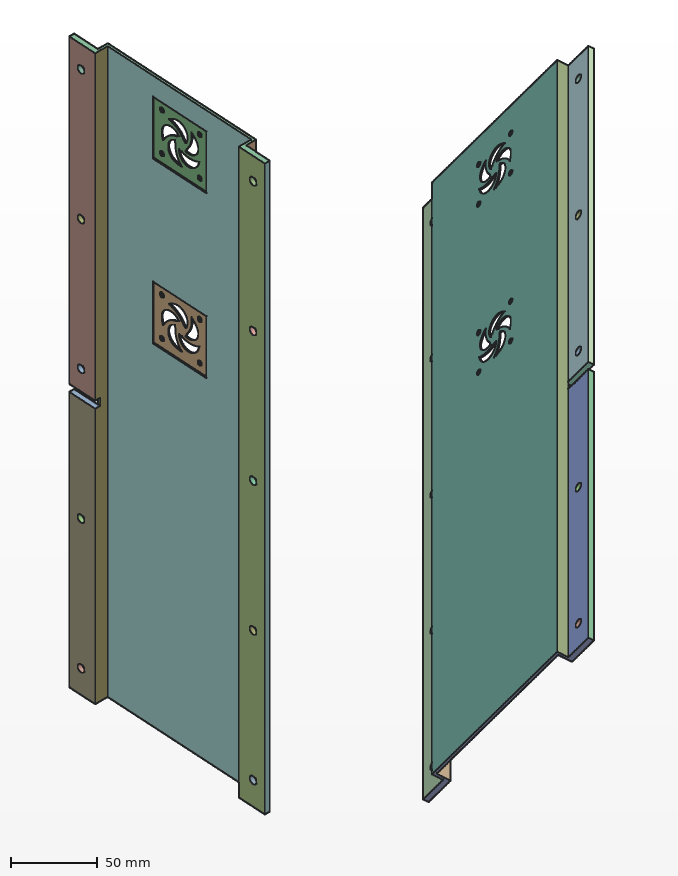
import cadquery as cq
import math

WIDTH = 165.0
DEPTH = 12.0
HEIGHT = 475.0

SHEET_THICKNESS = 2.0
FLANGE_THICKNESS = 2 * SHEET_THICKNESS
FLANGE_OVERHANG = 20.0
WEB_OUTER_X = WIDTH / 2 - FLANGE_OVERHANG
WEB_INNER_X = WEB_OUTER_X - SHEET_THICKNESS
PLATE_FRONT_Y = DEPTH - SHEET_THICKNESS

FLANGE_HOLE_DIAMETER = 5.5
FLANGE_HOLE_INSET = 10.0
FLANGE_HOLE_PITCH = 109.2
FLANGE_HOLES_PER_SIDE = 5
TOP_HOLE_Z = HEIGHT - 18.5

SLOT_HEIGHT = 5.5
SLOT_Z = 218.5

FAN_HEIGHTS = (HEIGHT - 38.0, HEIGHT - 173.0)
SEAT_SIZE = 45.0
SEAT_DEPTH = SHEET_THICKNESS / 2
FAN_HOLE_SPACING = 32.0
FAN_HOLE_DIAMETER = 3.5

OPENING_COUNT = 5
HUB_RADIUS = 10.0 / 2
SWIRL_RADIUS = 16.0
FIRST_OPENING_ANGLE = 107.0
TIP_ANGLE = 22.0
LEADING_EDGE_RADIUS = SWIRL_RADIUS / 2
LEADING_ROOT_ANGLE = -math.degrees(math.acos(HUB_RADIUS / SWIRL_RADIUS))
TRAILING_EDGE_RADIUS = 17.5
TRAILING_ROOT_ANGLE = -46.0


def polar(radius, degrees):
    """Point at a radius and angle from the fan centre."""
    angle = math.radians(degrees)
    return (radius * math.cos(angle), radius * math.sin(angle))


def front_plane():
    """XZ sketch plane at the front; a negative extrusion runs back into the part."""
    return cq.Workplane("XZ")


def make_section():
    """Hat section: two flanges at the front joined by webs to a plate at the back."""
    edge = WIDTH / 2
    right_half = [
        (WEB_INNER_X, PLATE_FRONT_Y),
        (WEB_INNER_X, 0),
        (edge, 0),
        (edge, FLANGE_THICKNESS),
        (WEB_OUTER_X, FLANGE_THICKNESS),
        (WEB_OUTER_X, DEPTH),
    ]
    left_half = [(-x, y) for x, y in reversed(right_half)]
    return cq.Workplane("XY").polyline(right_half + left_half).close().extrude(HEIGHT)


def make_flange_holes():
    """A column of through holes for each flange."""
    hole_x = WIDTH / 2 - FLANGE_HOLE_INSET
    points = [
        (side * hole_x, TOP_HOLE_Z - row * FLANGE_HOLE_PITCH)
        for side in (-1, 1)
        for row in range(FLANGE_HOLES_PER_SIDE)
    ]
    return front_plane().pushPoints(points).circle(FLANGE_HOLE_DIAMETER / 2).extrude(-DEPTH)


def make_slot():
    """Gap across the left flange and the foot of its web, one flange thickness deep."""
    slot_length = WIDTH / 2 - WEB_INNER_X
    slot_centre_x = -(WIDTH / 2 + WEB_INNER_X) / 2
    return (
        front_plane()
        .center(slot_centre_x, SLOT_Z)
        .rect(slot_length, SLOT_HEIGHT)
        .extrude(-FLANGE_THICKNESS)
    )


def make_air_opening(angle):
    """Crescent between the hub and the swirl circle.

    The leading edge is part of a half circle that meets the swirl circle
    tangentially at the given angle; the rim then follows the swirl circle to the tip.
    """
    leading_root = angle + LEADING_ROOT_ANGLE
    trailing_root = angle + TRAILING_ROOT_ANGLE
    hub_middle = (leading_root + trailing_root) / 2
    return (
        front_plane()
        .moveTo(*polar(HUB_RADIUS, leading_root))
        .radiusArc(polar(SWIRL_RADIUS, angle), -LEADING_EDGE_RADIUS)
        .threePointArc(polar(SWIRL_RADIUS, angle + TIP_ANGLE / 2), polar(SWIRL_RADIUS, angle + TIP_ANGLE))
        .radiusArc(polar(HUB_RADIUS, trailing_root), TRAILING_EDGE_RADIUS)
        .threePointArc(polar(HUB_RADIUS, hub_middle), polar(HUB_RADIUS, leading_root))
        .close()
        .extrude(-DEPTH)
    )


def make_fan_cut():
    """Square seat sunk in the plate front, with four screw holes and the air openings."""
    seat = front_plane().rect(SEAT_SIZE, SEAT_SIZE).extrude(-(PLATE_FRONT_Y + SEAT_DEPTH))
    screw_holes = (
        front_plane()
        .rect(FAN_HOLE_SPACING, FAN_HOLE_SPACING, forConstruction=True)
        .vertices()
        .circle(FAN_HOLE_DIAMETER / 2)
        .extrude(-DEPTH)
    )
    fan_cut = seat.union(screw_holes)
    for index in range(OPENING_COUNT):
        angle = FIRST_OPENING_ANGLE + index * 360 / OPENING_COUNT
        fan_cut = fan_cut.union(make_air_opening(angle))
    return fan_cut


result = make_section().cut(make_flange_holes()).cut(make_slot())
fan_cutter = make_fan_cut()
for fan_z in FAN_HEIGHTS:
    result = result.cut(fan_cutter.translate((0, 0, fan_z)))